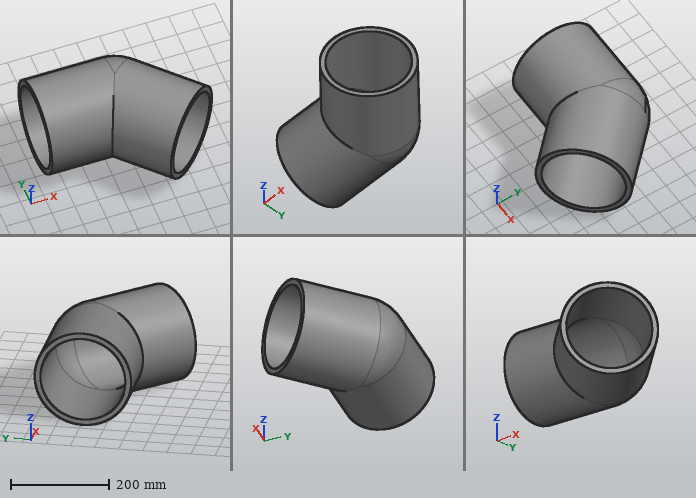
import cadquery as cq
import math

overall_length = 364.5
outer_diameter = 200.0
wall = 12.0
bend_angle = 45.0

outer_radius = outer_diameter / 2
inner_radius = outer_radius - wall
bend = math.radians(bend_angle)

leg_length = (overall_length - outer_radius * math.sin(bend)) / (1 + math.cos(bend))

leg_directions = [
    cq.Vector(-1, 0, 0),
    cq.Vector(math.cos(bend), -math.sin(bend), 0),
]


def elbow_body(radius):
    """Solid elbow: two cylindrical legs joined by a ball that rounds the outside of the bend."""
    body = cq.Workplane("XY").sphere(radius)
    for direction in leg_directions:
        leg = cq.Solid.makeCylinder(radius, leg_length, cq.Vector(0, 0, 0), direction)
        body = body.union(cq.Workplane(obj=leg))
    return body


result = elbow_body(outer_radius).cut(elbow_body(inner_radius))